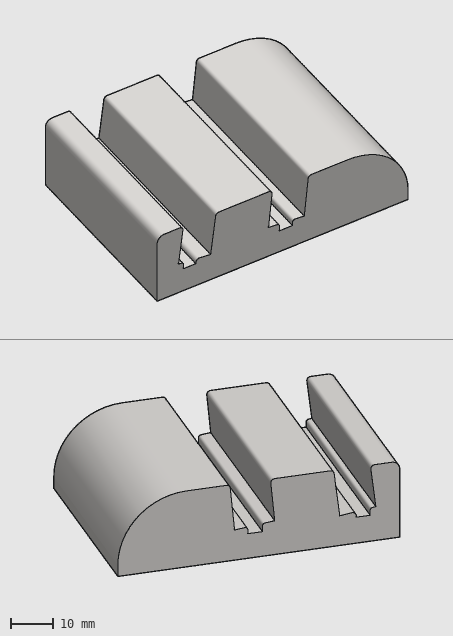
import cadquery as cq
import math

WIDTH = 50.0
DEPTH = 70.0
HEIGHT = 20.0

REAR_RADIUS = 17.0
FRONT_RADIUS = 2.0
SLOT_RIM_RADIUS = 1.0

WIDE_SLOT = {
    "corner": (41.0, 8.0),
    "lean": 5.5,
    "width": 10.0,
    "channel_rear": 37.7,
    "channel_width": 3.65,
    "channel_floor": 6.5,
    "rear_lip_radius": 0.7,
    "front_lip_radius": 0.7,
}
NARROW_SLOT = {
    "corner": (14.9, 7.85),
    "lean": 7.0,
    "width": 9.0,
    "channel_rear": 10.8,
    "channel_width": 3.4,
    "channel_floor": 6.85,
    "rear_lip_radius": 1.05,
    "front_lip_radius": 0.7,
}


def extrude_profile(points):
    """Extrude a closed (Y, Z) outline across the full width."""
    return cq.Workplane("YZ").polyline(points).close().extrude(WIDTH)


def round_edge(body, point, radius):
    """Round the widthwise edge that passes through a (Y, Z) point."""
    middle = (WIDTH / 2, *point)
    return body.edges("|X").edges(cq.NearestToPointSelector(middle)).fillet(radius)


def cut_slot(body, slot):
    """Cut a leaning slot and its floor channel, then round their rims."""
    rear_y, rear_z = slot["corner"]
    lean = math.radians(slot["lean"])
    slope = math.tan(lean)
    front_y = rear_y - slot["width"] * math.cos(lean)
    front_z = rear_z + slot["width"] * math.sin(lean)
    rear_rim = (rear_y + (HEIGHT - rear_z) * slope, HEIGHT)
    front_rim = (front_y + (HEIGHT - front_z) * slope, HEIGHT)
    body = body.cut(extrude_profile([(rear_y, rear_z), rear_rim, front_rim, (front_y, front_z)]))

    channel_rear = slot["channel_rear"]
    channel_front = channel_rear - slot["channel_width"]
    channel_floor = slot["channel_floor"]
    rear_lip = (channel_rear, rear_z + (rear_y - channel_rear) * slope)
    front_lip = (channel_front, rear_z + (rear_y - channel_front) * slope)
    floor_rear = (channel_rear, channel_floor)
    floor_front = (channel_front, channel_floor)
    channel = [floor_rear, rear_lip, front_lip, floor_front]
    body = body.cut(extrude_profile(channel))

    for rim in (rear_rim, front_rim):
        body = round_edge(body, rim, SLOT_RIM_RADIUS)
    body = round_edge(body, rear_lip, slot["rear_lip_radius"])
    return round_edge(body, front_lip, slot["front_lip_radius"])


block = extrude_profile([(0, 0), (DEPTH, 0), (DEPTH, HEIGHT), (0, HEIGHT)])
block = round_edge(block, (DEPTH, HEIGHT), REAR_RADIUS)
block = round_edge(block, (0, HEIGHT), FRONT_RADIUS)

for slot in (WIDE_SLOT, NARROW_SLOT):
    block = cut_slot(block, slot)

result = block